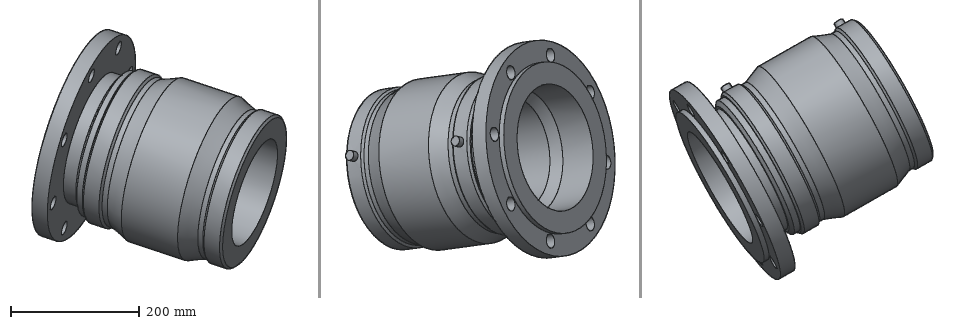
import cadquery as cq

flange_diameter = 340.0
face_diameter = 270.0
hub_diameter = 216.2
shoulder_root_diameter = 225.0
shoulder_diameter = 240.5
neck_diameter = 246.0
collar_diameter = 253.5
barrel_diameter = 270.0
mouth_diameter = 200.0
throat_diameter = 176.0

length = 314.0
flange_start = 9.0
flange_end = 35.5
shoulder_start = 58.5
shoulder_chamfer = 5.0
front_collar_start = 74.0
front_collar_end = 108.0
front_cone_start = 117.0
cone_length = 29.2
barrel_end = 242.5
rear_collar_start = 280.0
collar_chamfer = (collar_diameter - neck_diameter) / 2
bore_taper_start = 58.8
bore_taper_end = 75.0

bolt_count = 8
bolt_hole_diameter = 22.0
bolt_circle_diameter = 295.0
pin_diameter = 16.0
pin_tip_radius = 138.0
pin_embed = 6.8
front_pin_x = 91.8
rear_pin_x = 297.0


def revolve_profile(points):
    """Revolve closed (x, diameter) points about the X axis."""
    profile = [(x, diameter / 2) for x, diameter in points]
    return cq.Workplane("XY").polyline(profile).close().revolve(360, (0, 0), (1, 0))


def collar(start, end):
    """Corner points of a collar chamfered on both edges."""
    return [
        (start, neck_diameter),
        (start + collar_chamfer, collar_diameter),
        (end - collar_chamfer, collar_diameter),
        (end, neck_diameter),
    ]


def make_body():
    outside = [
        (0, face_diameter),
        (flange_start, face_diameter),
        (flange_start, flange_diameter),
        (flange_end, flange_diameter),
        (flange_end, hub_diameter),
        (shoulder_start, hub_diameter),
        (shoulder_start, shoulder_root_diameter),
        (shoulder_start + shoulder_chamfer, shoulder_diameter),
        (front_collar_start, shoulder_diameter),
        *collar(front_collar_start, front_collar_end),
        (front_cone_start, neck_diameter),
        (front_cone_start + cone_length, barrel_diameter),
        (barrel_end, barrel_diameter),
        (barrel_end + cone_length, neck_diameter),
        *collar(rear_collar_start, length),
    ]
    inside = [
        (length, throat_diameter),
        (bore_taper_end, throat_diameter),
        (bore_taper_start, mouth_diameter),
        (0, mouth_diameter),
    ]
    return revolve_profile(outside + inside)


def make_bolt_holes():
    return (
        cq.Workplane("YZ")
        .polarArray(bolt_circle_diameter / 2, 0, 360, bolt_count)
        .circle(bolt_hole_diameter / 2)
        .extrude(flange_end)
    )


def make_pin(x):
    """Pin pointing along +Y, rooted inside its collar."""
    root = collar_diameter / 2 - pin_embed
    return (
        cq.Workplane("XZ", origin=(x, root, 0))
        .circle(pin_diameter / 2)
        .extrude(root - pin_tip_radius)
    )


result = make_body().cut(make_bolt_holes())
for pin_x in (front_pin_x, rear_pin_x):
    result = result.union(make_pin(pin_x))